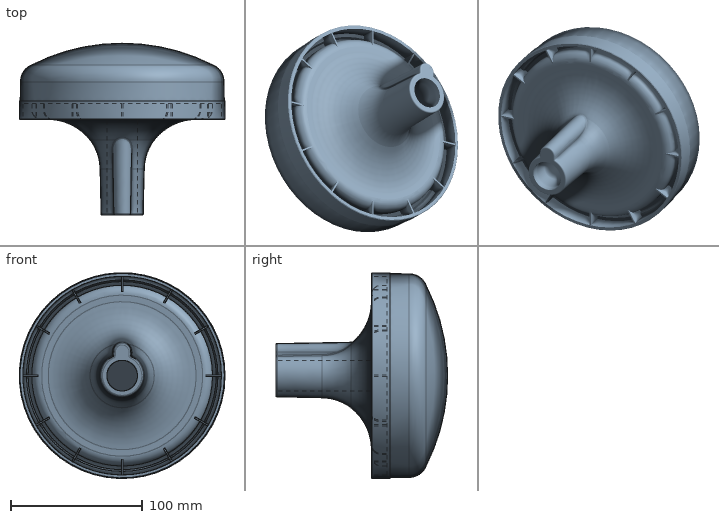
import cadquery as cq
import math


CROWN_HEIGHT = 58.1
RIM_RADIUS = 78.45
RIM_EDGE_CHAMFER = 0.5
BAND_HEIGHT = 14.0
BAND_TOP_RADIUS = 78.4
WALL_STEP = 0.5
WALL_TOP = 28.7
WALL_TOP_RADIUS = 77.6
SHOULDER_RADIUS = 13.9
SHOULDER_ANGLE = math.radians(68)

GUTTER_OUTER_RADIUS = 75.7
LEDGE_INNER_RADIUS = 73.0
FLOOR_OUTER_RADIUS = 71.7
GUTTER_INNER_RADIUS = 68.9
LEDGE_DEPTH = 12.0
FLOOR_DEPTH = 14.0
DISC_EDGE_FILLET = 7.5

RIB_COUNT = 12
RIB_THICKNESS = 1.2
RIB_SETBACK = 0.5
RIB_WALL_OVERLAP = 0.5

FLAT_INNER_RADIUS = 56.4
FLARE_JOIN_RADIUS = 24.5
FLARE_JOIN_Y = -15.5
STEM_TOP_RADIUS = 16.9
STEM_TOP_Y = -37.7
STEM_END_RADIUS = 16.1
STEM_END_Y = -72.9
STEM_END_FILLET = 1.1
BORE_RADIUS = 11.7
BORE_DEPTH = -STEM_END_Y

KEY_CENTER_Z = 18.2
KEY_END_RADIUS = 6.3
KEY_DRAFT = 1.0
KEY_ROOT_FILLET = 1.0


def arc_middle(center, radius, start_angle, end_angle):
    """Point halfway along an arc, angles in radians."""
    middle = (start_angle + end_angle) / 2
    return center[0] + radius * math.cos(middle), center[1] + radius * math.sin(middle)


def make_body():
    """Cap, gutter and flared stem in one turned profile (radius along X, height along Y)."""
    shoulder_center = (WALL_TOP_RADIUS - SHOULDER_RADIUS, WALL_TOP)
    shoulder_end = (
        shoulder_center[0] + SHOULDER_RADIUS * math.cos(SHOULDER_ANGLE),
        shoulder_center[1] + SHOULDER_RADIUS * math.sin(SHOULDER_ANGLE),
    )
    crown_rise = CROWN_HEIGHT - shoulder_end[1]
    crown_radius = (shoulder_end[0] ** 2 + crown_rise ** 2) / (2 * crown_rise)
    crown_center = (0, CROWN_HEIGHT - crown_radius)
    crown_start_angle = math.acos(shoulder_end[0] / crown_radius)

    disc_fillet_center = (GUTTER_INNER_RADIUS - DISC_EDGE_FILLET, DISC_EDGE_FILLET)

    flare_run = FLARE_JOIN_RADIUS - STEM_TOP_RADIUS
    flare_rise = FLARE_JOIN_Y - STEM_TOP_Y
    lower_radius = (flare_run ** 2 + flare_rise ** 2) / (2 * flare_run)
    lower_center = (STEM_TOP_RADIUS + lower_radius, STEM_TOP_Y)
    lower_end_angle = math.pi - math.asin(flare_rise / lower_radius)
    ring_run = FLAT_INNER_RADIUS - FLARE_JOIN_RADIUS
    upper_radius = (ring_run ** 2 + FLARE_JOIN_Y ** 2) / (-2 * FLARE_JOIN_Y)
    upper_center = (FLAT_INNER_RADIUS, -upper_radius)
    upper_join_angle = math.pi - math.acos(ring_run / upper_radius)

    profile = (
        cq.Workplane("XY")
        .moveTo(0, STEM_END_Y)
        .lineTo(STEM_END_RADIUS, STEM_END_Y)
        .lineTo(STEM_TOP_RADIUS, STEM_TOP_Y)
        .threePointArc(
            arc_middle(lower_center, lower_radius, math.pi, lower_end_angle),
            (FLARE_JOIN_RADIUS, FLARE_JOIN_Y),
        )
        .threePointArc(
            arc_middle(upper_center, upper_radius, upper_join_angle, math.pi / 2),
            (FLAT_INNER_RADIUS, 0),
        )
        .lineTo(disc_fillet_center[0], 0)
        .threePointArc(
            arc_middle(disc_fillet_center, DISC_EDGE_FILLET, -math.pi / 2, 0),
            (GUTTER_INNER_RADIUS, DISC_EDGE_FILLET),
        )
        .lineTo(GUTTER_INNER_RADIUS, FLOOR_DEPTH)
        .lineTo(FLOOR_OUTER_RADIUS, FLOOR_DEPTH)
        .lineTo(LEDGE_INNER_RADIUS, LEDGE_DEPTH)
        .lineTo(GUTTER_OUTER_RADIUS, LEDGE_DEPTH)
        .lineTo(GUTTER_OUTER_RADIUS, 0)
        .lineTo(RIM_RADIUS - RIM_EDGE_CHAMFER, 0)
        .lineTo(RIM_RADIUS, RIM_EDGE_CHAMFER)
        .lineTo(BAND_TOP_RADIUS, BAND_HEIGHT)
        .lineTo(BAND_TOP_RADIUS - WALL_STEP, BAND_HEIGHT)
        .lineTo(WALL_TOP_RADIUS, WALL_TOP)
        .threePointArc(arc_middle(shoulder_center, SHOULDER_RADIUS, 0, SHOULDER_ANGLE), shoulder_end)
        .threePointArc(
            arc_middle(crown_center, crown_radius, crown_start_angle, math.pi / 2),
            (0, CROWN_HEIGHT),
        )
        .close()
    )
    return profile.revolve(360, (0, 0, 0), (0, 1, 0))


def add_key(body):
    """Round-topped key, widening with draft from the stem end until it runs into the flare.

    The key root is filleted first, then the whole end outline of stem and key.
    """
    key = (
        cq.Workplane("XZ", origin=(0, STEM_END_Y, 0))
        .moveTo(-KEY_END_RADIUS, 0)
        .lineTo(-KEY_END_RADIUS, KEY_CENTER_Z)
        .threePointArc((0, KEY_CENTER_Z + KEY_END_RADIUS), (KEY_END_RADIUS, KEY_CENTER_Z))
        .lineTo(KEY_END_RADIUS, 0)
        .close()
        .extrude(STEM_END_Y, taper=-KEY_DRAFT)
    )
    keyed = body.union(key)
    reach = 2 * KEY_END_RADIUS
    root_zone = cq.selectors.BoxSelector(
        (-reach, STEM_END_Y + STEM_END_FILLET, STEM_END_RADIUS / 2),
        (reach, FLARE_JOIN_Y / 2, 2 * KEY_CENTER_Z),
    )
    keyed = keyed.edges(root_zone).edges("not(%LINE or %CIRCLE)").fillet(KEY_ROOT_FILLET)
    return keyed.faces("<Y").edges().fillet(STEM_END_FILLET)


def cut_bore(body):
    """Blind round bore running up the stem from its free end."""
    bore = cq.Workplane("XZ", origin=(0, STEM_END_Y, 0)).circle(BORE_RADIUS).extrude(-BORE_DEPTH)
    return body.cut(bore)


def add_ribs(body):
    """Thin radial ribs filling the gutter from its floor to just behind the rim plane."""
    inner_radius = GUTTER_INNER_RADIUS - DISC_EDGE_FILLET
    rib_length = GUTTER_OUTER_RADIUS + RIB_WALL_OVERLAP - inner_radius
    rib_height = FLOOR_DEPTH - RIB_SETBACK
    rib = (
        cq.Workplane("XY")
        .box(rib_length, rib_height, RIB_THICKNESS, centered=(False, False, True))
        .translate((inner_radius, RIB_SETBACK, 0))
    )
    for index in range(RIB_COUNT):
        body = body.union(rib.rotate((0, 0, 0), (0, 1, 0), index * 360 / RIB_COUNT))
    return body


body = make_body()
body = add_key(body)
body = cut_bore(body)
result = add_ribs(body)